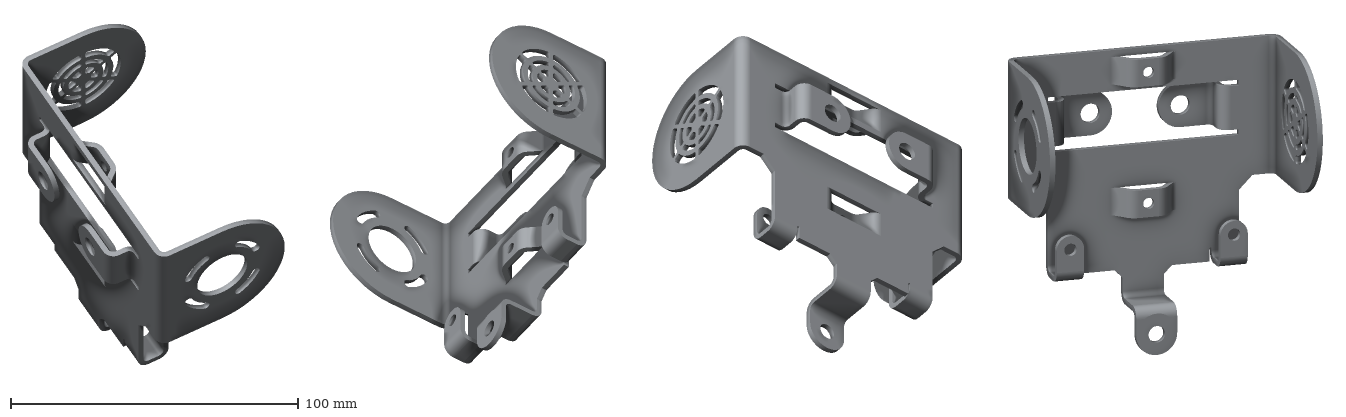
import cadquery as cq
import math


thickness = 2.0
inner_bend = 2.0
outer_bend = inner_bend + thickness

overall_width = 100.0
wall_depth = 50.0
wall_height = 50.0
wall_radius = wall_height / 2
wall_center_y = wall_depth - wall_radius

lower_width = 70.0
lower_bottom_z = -55.0
shoulder_chamfer = 5.0

tongue_width = 15.0
tongue_root_chamfer = 3.0
tongue_bend_z = -63.0
tongue_back_y = 17.0
tongue_hole_z = -75.0
tongue_hole_diameter = 6.0

hook_width = 10.0
hook_slit_width = 0.8
hook_slit_height = 5.0
hook_bend_z = lower_bottom_z + outer_bend
hook_back_y = 12.0
hook_hole_z = -43.0
hook_hole_diameter = 4.5

opening_width = 70.0
opening_height = 20.0
ear_height = 16.0
ear_root_x = 32.0
ear_projection = 9.0
ear_hole_x = 16.5
ear_hole_diameter = 7.0

bridge_span = 24.0
bridge_height = 10.0
bridge_rise = 6.0
bridge_angle = 50.0
bridge_crown_inner_bend = 3.0
bridge_centers_z = (17.5, -30.0)
bridge_hole_diameter = 4.0

grille_rings = ((3.0, 6.0), (8.0, 10.0), (12.0, 15.0))
grille_spoke_width = 1.5
grille_spoke_bars = 3
grille_corner_radius = 0.75

wall_bore_diameter = 20.0
arc_slot_count = 4
arc_slot_radius = 15.0
arc_slot_width = 3.0
arc_slot_sweep = 38.0


def polar(radius, degrees):
    """Point at a radius and angle about the origin."""
    angle = math.radians(degrees)
    return (radius * math.cos(angle), radius * math.sin(angle))


def shifted(point, distance, degrees):
    """Point moved by a distance in a direction."""
    dx, dy = polar(distance, degrees)
    return (point[0] + dx, point[1] + dy)


def trace_face(start, heading, moves, depth):
    """Path along a bent sheet, at a depth below its left face.

    start lies on the left face. Each move is ("run", length) or
    ("bend", degrees, inner radius), where positive degrees turn left.
    Returns the first point and a list of (arc middle or None, end) stretches.
    """
    first = shifted(start, depth, heading - 90)
    point = first
    stretches = []
    for kind, amount, *bend_radius in moves:
        middle = None
        if kind == "run":
            point = shifted(point, amount, heading)
        else:
            if amount > 0:
                reach = bend_radius[0] + depth
            else:
                reach = depth - thickness - bend_radius[0]
            center = shifted(point, reach, heading + 90)
            middle = shifted(center, -reach, heading + amount / 2 + 90)
            heading += amount
            point = shifted(center, -reach, heading + 90)
        stretches.append((middle, point))
    return first, stretches


def draw_stretch(outline, middle, end):
    """Outline continued by an arc through the middle, or by a line if there is none."""
    if middle is None:
        return outline.lineTo(*end)
    return outline.threePointArc(middle, end)


def sheet_strip(plane, start, heading, moves, width):
    """Bent strip of sheet whose section lies on a plane, centered on it across its width."""
    left_start, left_face = trace_face(start, heading, moves, 0)
    right_start, right_face = trace_face(start, heading, moves, thickness)
    outline = cq.Workplane(plane).moveTo(*left_start)
    for middle, end in left_face:
        outline = draw_stretch(outline, middle, end)
    outline = outline.lineTo(*right_face[-1][1])
    right_points = [right_start] + [end for _, end in right_face]
    for index in reversed(range(len(right_face))):
        outline = draw_stretch(outline, right_face[index][0], right_points[index])
    return outline.close().extrude(width / 2, both=True)


def disc_along_y(diameter, x, z, front_y, depth):
    """Cylinder along Y that reaches from front_y toward the back by a depth."""
    return cq.Workplane("XZ", origin=(x, front_y, z)).circle(diameter / 2).extrude(-depth)


def both_sides(solid):
    """The solid joined by its mirror image across X = 0."""
    return solid.union(solid.mirror("YZ"))


def make_channel():
    """Back plate with its two folded side walls, rounded at the free ends."""
    wall_run = wall_depth - outer_bend
    moves = [
        ("run", wall_run),
        ("bend", 90, inner_bend),
        ("run", overall_width - 2 * outer_bend),
        ("bend", 90, inner_bend),
        ("run", wall_run),
    ]
    start = (thickness - overall_width / 2, wall_depth)
    channel = sheet_strip("XY", start, -90, moves, wall_height)
    wall_outline = (
        cq.Workplane("YZ")
        .moveTo(0, wall_radius)
        .lineTo(wall_center_y, wall_radius)
        .threePointArc((wall_depth, 0), (wall_center_y, -wall_radius))
        .lineTo(0, -wall_radius)
        .close()
        .extrude(overall_width, both=True)
    )
    return channel.intersect(wall_outline)


def make_lower_plate():
    """Flat plate below the channel, with chamfered shoulders and a chamfered tongue root."""
    half_width = lower_width / 2
    half_tongue = tongue_width / 2
    top_z = -wall_height / 2
    hook_inner_x = half_width - hook_width
    slit_inner_x = hook_inner_x - hook_slit_width
    slit_top_z = lower_bottom_z + hook_slit_height
    right_half = [
        (half_width + shoulder_chamfer, top_z),
        (half_width, top_z - shoulder_chamfer),
        (half_width, hook_bend_z),
        (hook_inner_x, hook_bend_z),
        (hook_inner_x, slit_top_z),
        (slit_inner_x, slit_top_z),
        (slit_inner_x, lower_bottom_z),
        (half_tongue + tongue_root_chamfer, lower_bottom_z),
        (half_tongue, lower_bottom_z - tongue_root_chamfer),
        (half_tongue, tongue_bend_z),
    ]
    left_half = [(-x, z) for x, z in reversed(right_half)]
    return cq.Workplane("XZ").polyline(right_half + left_half).close().extrude(-thickness)


def make_tongue():
    """Z-bent tongue with a full-round end and a screw hole."""
    leaf_top_z = tongue_bend_z - outer_bend - inner_bend
    leaf_y = tongue_back_y - thickness
    moves = [
        ("bend", 90, inner_bend),
        ("run", tongue_back_y - 2 * outer_bend),
        ("bend", -90, inner_bend),
        ("run", leaf_top_z - tongue_hole_z),
    ]
    strip = sheet_strip("YZ", (thickness, tongue_bend_z), -90, moves, tongue_width)
    round_end = disc_along_y(tongue_width, 0, tongue_hole_z, leaf_y, thickness)
    hole = disc_along_y(tongue_hole_diameter, 0, tongue_hole_z, leaf_y, thickness)
    return strip.union(round_end).cut(hole)


def make_hook():
    """J-shaped tab folded back and up at the +X lower corner."""
    center_x = (lower_width - hook_width) / 2
    leaf_y = hook_back_y - thickness
    moves = [
        ("bend", 90, inner_bend),
        ("run", hook_back_y - 2 * outer_bend),
        ("bend", 90, inner_bend),
        ("run", hook_hole_z - hook_bend_z),
    ]
    strip = sheet_strip("YZ", (thickness, hook_bend_z), -90, moves, hook_width)
    strip = strip.translate((center_x, 0, 0))
    round_end = disc_along_y(hook_width, center_x, hook_hole_z, leaf_y, thickness)
    hole = disc_along_y(hook_hole_diameter, center_x, hook_hole_z, leaf_y, thickness)
    return strip.union(round_end).cut(hole)


def make_opening():
    """Cutter for the wide opening between the ears."""
    return cq.Workplane("XZ").rect(opening_width, opening_height).extrude(-thickness)


def make_ear():
    """Ear at the +X end of the opening, stepped forward and pointing inward."""
    leaf_start_x = ear_root_x - outer_bend - inner_bend
    moves = [
        ("run", opening_width / 2 - ear_root_x),
        ("bend", 90, inner_bend),
        ("run", ear_projection - outer_bend - inner_bend),
        ("bend", -90, inner_bend),
        ("run", leaf_start_x - ear_hole_x),
    ]
    strip = sheet_strip("XY", (opening_width / 2, 0), 180, moves, ear_height)
    round_end = disc_along_y(ear_height, ear_hole_x, 0, -ear_projection, thickness)
    hole = disc_along_y(ear_hole_diameter, ear_hole_x, 0, -ear_projection, thickness)
    return strip.union(round_end).cut(hole)


def make_bridge_window(z):
    """Cutter for the window that a bridge is pushed out of."""
    window = cq.Workplane("XZ", origin=(0, 0, z)).rect(bridge_span, bridge_height)
    return window.extrude(-thickness)


def make_bridge(z):
    """Trapezoidal bridge standing behind the plate, with a hole in its crown."""
    angle = math.radians(bridge_angle)
    bend_radii = outer_bend + bridge_crown_inner_bend
    slope_rise = bridge_rise - bend_radii * (1 - math.cos(angle))
    slope_length = slope_rise / math.sin(angle)
    slope_advance = slope_length * math.cos(angle)
    half_crown = bridge_span / 2 - bend_radii * math.sin(angle) - slope_advance
    moves = [
        ("bend", bridge_angle, inner_bend),
        ("run", slope_length),
        ("bend", -bridge_angle, bridge_crown_inner_bend),
        ("run", 2 * half_crown),
        ("bend", -bridge_angle, bridge_crown_inner_bend),
        ("run", slope_length),
        ("bend", bridge_angle, inner_bend),
    ]
    bridge = sheet_strip("XY", (-bridge_span / 2, thickness), 0, moves, bridge_height)
    hole = disc_along_y(bridge_hole_diameter, 0, 0, bridge_rise, thickness)
    return bridge.cut(hole).translate((0, 0, z))


def make_grille():
    """Cutter for three rings of openings between radial spokes in the -X wall."""
    wall_x = -overall_width / 2
    grille = cq.Workplane("YZ", origin=(wall_x, wall_center_y, 0))
    openings = None
    for inner_radius, outer_radius in grille_rings:
        ring = grille.circle(outer_radius).circle(inner_radius).extrude(thickness)
        openings = ring if openings is None else openings.union(ring)
    bar_length = 2 * wall_radius
    for index in range(grille_spoke_bars):
        bar = grille.transformed(rotate=(0, 0, 90 + index * 180 / grille_spoke_bars))
        openings = openings.cut(bar.rect(bar_length, grille_spoke_width).extrude(thickness))
    return openings.edges("|X").fillet(grille_corner_radius)


def make_arc_slots():
    """Cutter for the bore and the ring of arc slots in the +X wall."""
    wall_x = overall_width / 2 - thickness
    base = cq.Workplane("YZ", origin=(wall_x, wall_center_y, 0))
    cutter = base.circle(wall_bore_diameter / 2).extrude(thickness)
    inner = arc_slot_radius - arc_slot_width / 2
    outer = arc_slot_radius + arc_slot_width / 2
    half_sweep = arc_slot_sweep / 2
    end_sweep = math.degrees(arc_slot_width / 2 / arc_slot_radius)
    for index in range(arc_slot_count):
        middle = (index + 0.5) * 360 / arc_slot_count
        low = middle - half_sweep
        high = middle + half_sweep
        slot = (
            base.moveTo(*polar(inner, low))
            .threePointArc(polar(inner, middle), polar(inner, high))
            .threePointArc(polar(arc_slot_radius, high + end_sweep), polar(outer, high))
            .threePointArc(polar(outer, middle), polar(outer, low))
            .threePointArc(polar(arc_slot_radius, low - end_sweep), polar(inner, low))
            .close()
            .extrude(thickness)
        )
        cutter = cutter.union(slot)
    return cutter


bracket = make_channel().union(make_lower_plate())
bracket = bracket.cut(make_opening())
for bridge_z in bridge_centers_z:
    bracket = bracket.cut(make_bridge_window(bridge_z)).union(make_bridge(bridge_z))
bracket = bracket.union(make_tongue())
bracket = bracket.union(both_sides(make_hook()))
bracket = bracket.union(both_sides(make_ear()))
result = bracket.cut(make_grille()).cut(make_arc_slots())